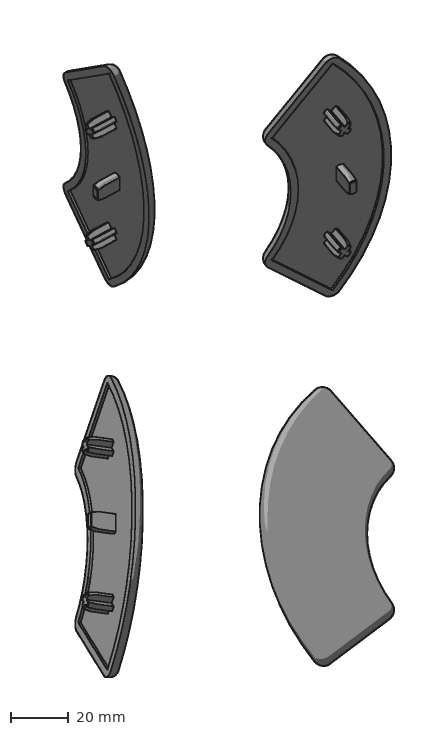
import cadquery as cq
import math

outer_radius = 80.0
inner_radius = 39.9
half_angle = math.radians(45)
corner_radius = 4.0
plate_thickness = 4.0
back_round = 3.0
rim_width = 3.0
recess_depth = 1.0

peg_reach = 8.5
taper_length = 3.0

peg_radius = 3.5
peg_tip_inset = 0.5
peg_tip_edge = 0.3

cross_x = 56.6
cross_z = 28.3
cross_arm_width = 2.0

blade_x = 60.0
blade_width = 3.0

corner_centre_radius = inner_radius + corner_radius
corner_centre_angle = half_angle - math.asin(corner_radius / corner_centre_radius)
x_min = corner_centre_radius * math.cos(corner_centre_angle) - corner_radius
x_shift = -(x_min + outer_radius) / 2


def sector(inset):
    """Closed sharp-cornered sector, moved inward by inset on all four sides."""
    r_out = outer_radius - inset
    r_in = inner_radius + inset
    a_out = half_angle - math.asin(inset / r_out)
    a_in = half_angle - math.asin(inset / r_in)

    def point(radius, angle):
        return (x_shift + radius * math.cos(angle), radius * math.sin(angle))

    return (
        cq.Workplane("XZ")
        .moveTo(*point(r_in, -a_in))
        .lineTo(*point(r_out, -a_out))
        .threePointArc(point(r_out, 0), point(r_out, a_out))
        .lineTo(*point(r_in, a_in))
        .threePointArc(point(r_in, 0), point(r_in, -a_in))
        .close()
    )


def make_plate():
    """Plate with its rim face at Y = 0 and its rounded back at +Y."""
    plate = sector(0).extrude(-plate_thickness)
    plate = plate.edges("|Y").fillet(corner_radius)
    plate = plate.faces(">Y").edges().fillet(back_round)
    return plate.cut(sector(rim_width).extrude(-recess_depth))


def make_peg_core():
    """Round pin with a conical lead-in and a chamfered tip, its axis along Y."""
    tip_radius = peg_radius - peg_tip_inset
    profile = [
        (0, recess_depth),
        (peg_radius, recess_depth),
        (peg_radius, taper_length - peg_reach),
        (tip_radius, peg_tip_edge - peg_reach),
        (tip_radius - peg_tip_edge, -peg_reach),
        (0, -peg_reach),
    ]
    return cq.Workplane("XY").polyline(profile).close().revolve(360, (0, 0), (0, 1))


def make_bar(width):
    """Flat bar, thin in X and long in Z, reaching from the recess floor to the peg tip."""
    return (
        cq.Workplane("XZ", origin=(0, recess_depth, 0))
        .rect(width, 2 * peg_radius)
        .extrude(recess_depth + peg_reach)
    )


def make_cross():
    """Two crossed bars, diagonal to X and Z, trimmed to the round pin."""
    bar = make_bar(cross_arm_width)
    origin = (0, 0, 0)
    y_axis = (0, 1, 0)
    cross = bar.rotate(origin, y_axis, 45).union(bar.rotate(origin, y_axis, -45))
    return cross.intersect(make_peg_core())


def make_blade():
    """Single bar trimmed to the round pin, with its long tip edges chamfered."""
    bar = make_bar(blade_width).faces("<Y").edges("|Z").chamfer(peg_tip_edge)
    return bar.intersect(make_peg_core())


result = make_plate()
for side in (-1, 1):
    result = result.union(make_cross().translate((x_shift + cross_x, 0, side * cross_z)))
result = result.union(make_blade().translate((x_shift + blade_x, 0, 0)))